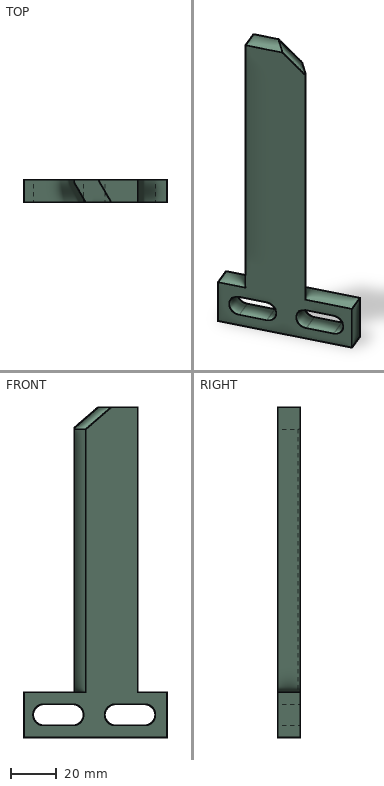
import cadquery as cq
import math

thickness = 10.0
foot_length = 63.0
foot_height = 20.0
total_height = 145.0

blade_left = 22.0
blade_right = 50.0
bevel_angle = 30.0
land_depth = 1.2
tip_chamfer = 9.7

slot_length = 22.0
slot_width = 9.1
slot_spacing = 31.5
slot_pair_center_x = 30.9
slot_center_z = foot_height / 2


def make_foot():
    """Rectangular bar with two through slots."""
    foot = cq.Workplane("XY").box(foot_length, thickness, foot_height, centered=False)
    for side in (-1, 1):
        center_x = slot_pair_center_x + side * slot_spacing / 2
        slot = (
            cq.Workplane("XZ")
            .center(center_x, slot_center_z)
            .slot2D(slot_length, slot_width)
            .extrude(-thickness)
        )
        foot = foot.cut(slot)
    return foot


def make_blade():
    """Bevelled strip, chamfered at the tip and trimmed to leave a narrow land."""
    slope = math.tan(math.radians(bevel_angle))
    sharp_edge_x = blade_left - land_depth * slope
    front_edge_x = sharp_edge_x + thickness * slope
    blade = (
        cq.Workplane("XY", origin=(0, 0, foot_height))
        .polyline([
            (front_edge_x, 0),
            (blade_right, 0),
            (blade_right, thickness),
            (sharp_edge_x, thickness),
        ])
        .close()
        .extrude(total_height - foot_height)
    )
    blade = blade.faces(">Z").edges("<X").chamfer(tip_chamfer)

    envelope = cq.Workplane("XY").box(
        blade_right - blade_left, thickness, total_height, centered=False
    )
    return blade.intersect(envelope.translate((blade_left, 0, 0)))


result = make_foot().union(make_blade())